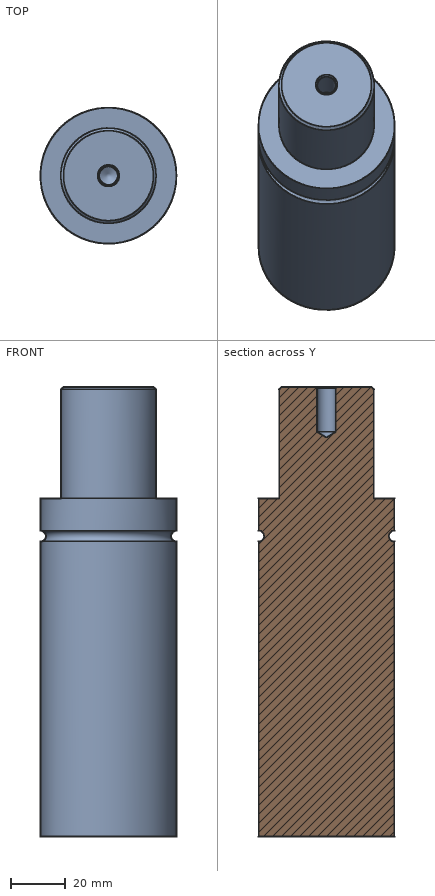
import cadquery as cq
import math

total_height = 165.0
body_diameter = 50.0

rod_diameter = 35.0
rod_length = 41.0
rod_chamfer = 1.0

groove_bottom = 108.2
groove_radius = 2.0

hole_diameter = 6.8
hole_mouth_diameter = 8.0
hole_depth = 16.5
drill_tip_angle = 118.0

body_radius = body_diameter / 2
body_height = total_height - rod_length


def make_body():
    return cq.Workplane("XY").circle(body_radius).extrude(body_height)


def make_rod():
    rod = cq.Workplane("XY", origin=(0, 0, body_height)).circle(rod_diameter / 2).extrude(rod_length)
    return rod.faces(">Z").edges().chamfer(rod_chamfer)


def make_groove():
    """Ring that cuts a half-round groove, in two quarter arcs, into the body."""
    middle = groove_bottom + groove_radius
    top = middle + groove_radius
    root = body_radius - groove_radius
    arc_offset = groove_radius * math.sqrt(0.5)
    profile = (
        cq.Workplane("XZ")
        .moveTo(body_radius, groove_bottom)
        .threePointArc((body_radius - arc_offset, middle - arc_offset), (root, middle))
        .threePointArc((body_radius - arc_offset, middle + arc_offset), (body_radius, top))
        .lineTo(body_radius + groove_radius, top)
        .lineTo(body_radius + groove_radius, groove_bottom)
        .close()
    )
    return profile.revolve(360, (0, 0, 0), (0, 1, 0))


def make_hole():
    """Blind drilled hole with a 45 degree mouth and a conical bottom."""
    radius = hole_diameter / 2
    mouth_radius = hole_mouth_diameter / 2
    mouth_depth = mouth_radius - radius
    tip_length = radius / math.tan(math.radians(drill_tip_angle / 2))
    cone_start = total_height - hole_depth
    profile = (
        cq.Workplane("XZ")
        .moveTo(0, total_height)
        .lineTo(mouth_radius, total_height)
        .lineTo(radius, total_height - mouth_depth)
        .lineTo(radius, cone_start)
        .lineTo(0, cone_start - tip_length)
        .close()
    )
    return profile.revolve(360, (0, 0, 0), (0, 1, 0))


result = make_body().union(make_rod()).cut(make_groove()).cut(make_hole())